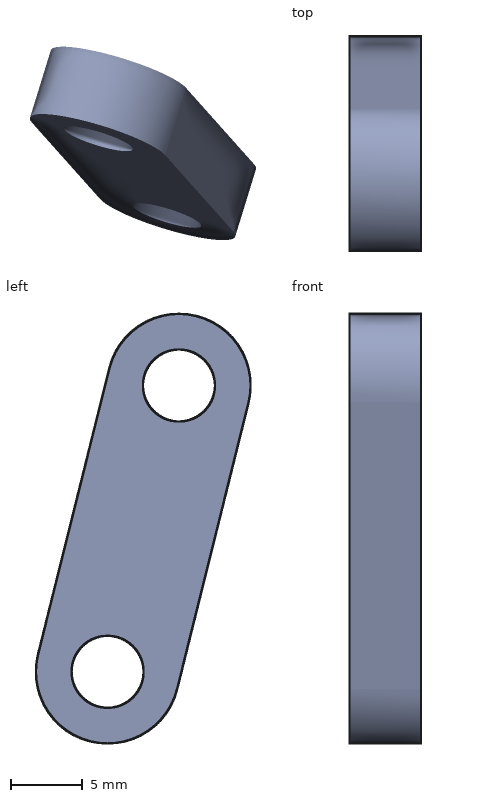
import cadquery as cq
import math

height = 30.0
depth = 15.0
thickness = 5.0
end_radius = 5.0
hole_diameter = 5.0

lean = depth - 2 * end_radius
rise = height - 2 * end_radius
hole_spacing = math.hypot(lean, rise)
slope_angle = math.degrees(math.atan2(rise, -lean))

lower_hole = (lean / 2, -rise / 2)
upper_hole = (-lean / 2, rise / 2)

body = (
    cq.Workplane("YZ")
    .slot2D(hole_spacing + 2 * end_radius, 2 * end_radius, slope_angle)
    .extrude(thickness / 2, both=True)
)

holes = (
    cq.Workplane("YZ")
    .pushPoints([lower_hole, upper_hole])
    .circle(hole_diameter / 2)
    .extrude(thickness / 2, both=True)
)

result = body.cut(holes)